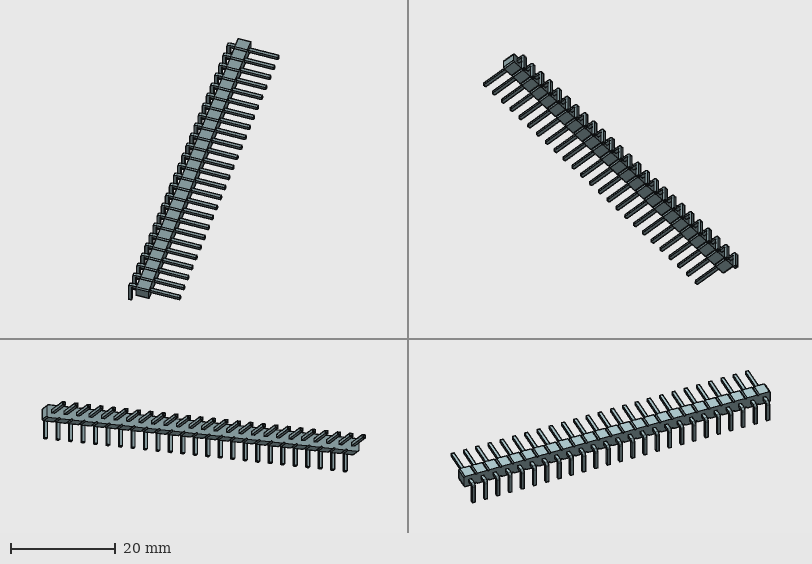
import cadquery as cq

pin_count = 25
pitch = 2.55

strip_start_x = 1.85
strip_width = 2.55
strip_height = 2.55
strip_length = pin_count * pitch
cell_chamfer = 0.25

pin_size = 0.65
pin_reach = 10.35
bend_radius = 0.65
tip_taper = 0.16

overall_height = 5.5
pin_top_z = pin_size / 2
pin_underside_z = -pin_size / 2
pin_bottom_z = strip_height / 2 - overall_height


def strip_cell(center_y):
    """One cell of the strip, chamfered along X so that neighbours meet in V notches."""
    cell = cq.Workplane("XY").box(strip_width, pitch, strip_height)
    cell = cell.edges("|X").chamfer(cell_chamfer)
    return cell.translate((strip_start_x + strip_width / 2, center_y, 0))


def bent_pin(center_y):
    """An L-shaped square pin with a rounded outer bend and tapered ends."""
    pin = (
        cq.Workplane("XZ")
        .moveTo(0, pin_bottom_z)
        .lineTo(0, pin_top_z - bend_radius)
        .radiusArc((bend_radius, pin_top_z), bend_radius)
        .lineTo(pin_reach, pin_top_z)
        .lineTo(pin_reach, pin_underside_z)
        .lineTo(pin_size, pin_underside_z)
        .lineTo(pin_size, pin_bottom_z)
        .close()
        .extrude(pin_size / 2, both=True)
    )
    pin = pin.faces(">X").chamfer(tip_taper)
    pin = pin.faces("<Z").chamfer(tip_taper)
    return pin.translate((0, center_y, 0))


cells = []
pins = []
for index in range(pin_count):
    center_y = (index + 0.5) * pitch - strip_length / 2
    cells.append(strip_cell(center_y).val())
    pins.append(bent_pin(center_y).val())

header = cells[0].fuse(*cells[1:], *pins).clean()
result = cq.Workplane(obj=header.Solids()[0])